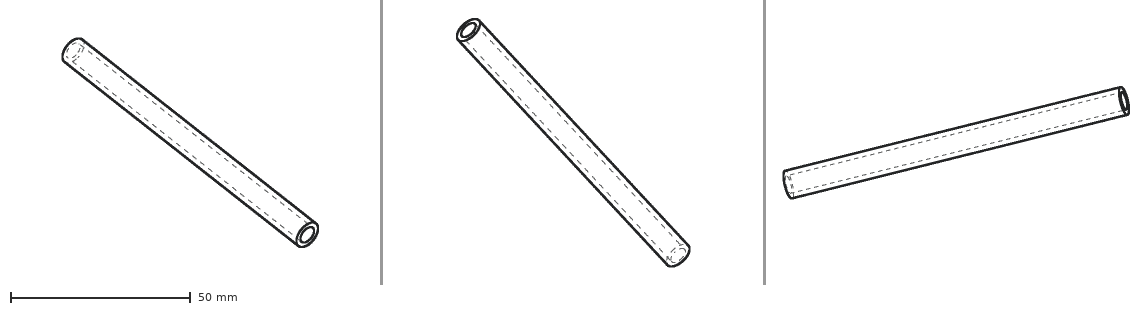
import cadquery as cq

length = 100.0
outer_diameter = 8.0
bore_diameter = 5.0

result = (
    cq.Workplane("YZ")
    .workplane(offset=-length / 2)
    .circle(outer_diameter / 2)
    .circle(bore_diameter / 2)
    .extrude(length)
)